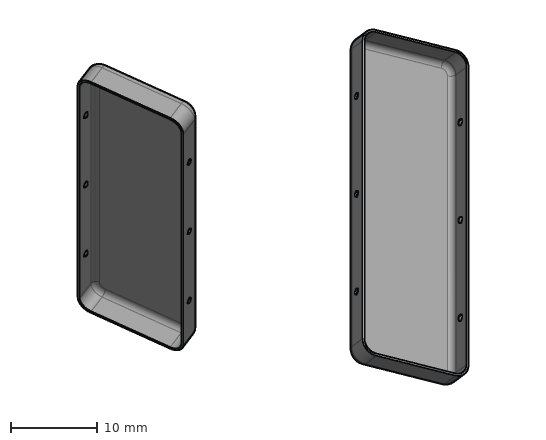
import cadquery as cq
import math

width = 14.2
depth = 3.5
height = 41.8

wall = 0.3
corner_radius = 1.8
floor_edge_radius = 1.0

dimple_radius = 0.38
bump_radius = 0.5
dimple_pitch = 12.55
dimple_rows = (-1, 0, 1)
dimple_from_rim = 1.4

rim_y = -depth / 2


def rounded_block(inset):
    """Tray envelope moved inward by inset, keeping the open rim in place."""
    return (
        cq.Workplane("XZ", origin=(0, rim_y, 0))
        .rect(width - 2 * inset, height - 2 * inset)
        .extrude(-(depth - inset))
        .edges("|Y")
        .fillet(corner_radius - inset)
        .faces(">Y")
        .edges()
        .fillet(floor_edge_radius - inset)
    )


def dome(side, row, radius):
    """Half ball with its flat face on a long wall's outer face, bulging into the cavity."""
    center = (side * width / 2, rim_y + dimple_from_rim, row * dimple_pitch)
    plane = cq.Plane(origin=center, xDir=(-side, 0, 0), normal=(0, 0, 1))
    arc_middle = radius * math.sqrt(0.5)
    return (
        cq.Workplane(plane)
        .lineTo(radius, 0)
        .threePointArc((arc_middle, arc_middle), (0, radius))
        .close()
        .revolve(360, (0, 0), (1, 0))
    )


result = rounded_block(0).cut(rounded_block(wall))

for side in (-1, 1):
    for row in dimple_rows:
        result = result.union(dome(side, row, bump_radius))
        result = result.cut(dome(side, row, dimple_radius))